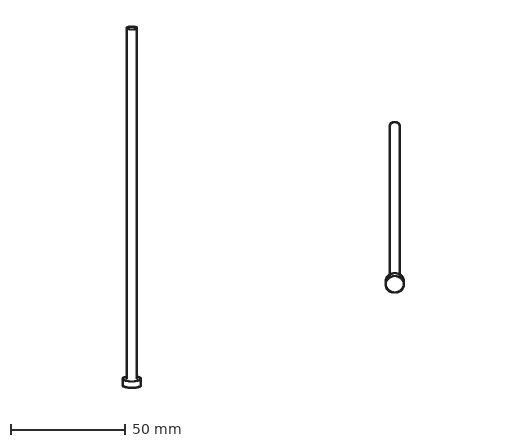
import cadquery as cq

total_length = 163.0
head_diameter = 8.0
head_height = 3.0
shaft_diameter = 4.5
root_fillet_radius = 0.2

shaft_length = total_length - head_height


def make_head():
    """Flat cylindrical head."""
    return cq.Workplane("XY").circle(head_diameter / 2).extrude(head_height)


def make_shaft():
    """Long plain shaft that starts on top of the head."""
    base = cq.Workplane("XY").workplane(offset=head_height)
    return base.circle(shaft_diameter / 2).extrude(shaft_length)


def round_shaft_root(pin):
    """Fillet the inner corner where the shaft meets the head."""
    shaft_edges = pin.edges("%CIRCLE").edges(cq.selectors.RadiusNthSelector(0))
    return shaft_edges.edges("<Z").fillet(root_fillet_radius)


result = round_shaft_root(make_head().union(make_shaft()))